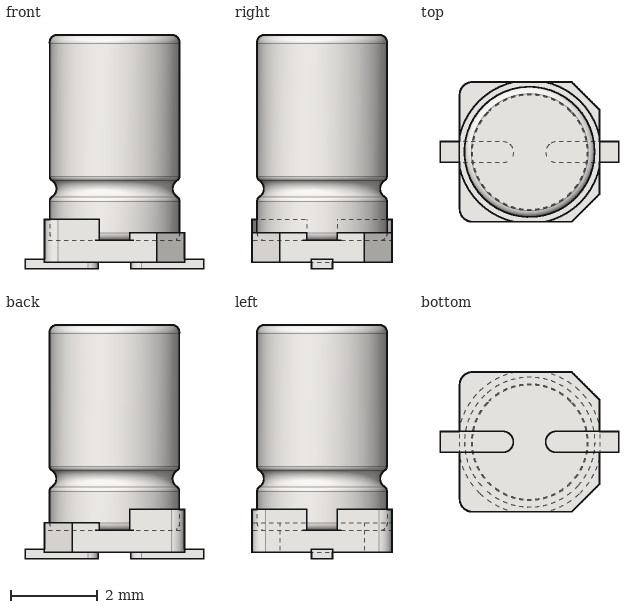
import cadquery as cq
import math

base_side = 3.23
base_bottom = 0.15
low_top = 0.835
high_top = 1.145
corner_radius = 0.3
corner_chamfer = 0.64
seat_radius = 1.65
seat_floor = 0.66

can_radius = 1.5
can_top = 5.4
top_rim_radius = 0.15
top_rim_height = 0.2
bottom_rim_radius = 0.18
groove_center = 1.85
groove_radius = 1.345
groove_half_height = 0.285
groove_lip_height = 0.095

lead_span = 4.12
lead_width = 0.485
lead_height = 0.225
lead_gap = 0.745


def make_base():
    """Stepped square base with a round seat that breaks through all four sides."""
    half = base_side / 2
    base = (
        cq.Workplane("XY", origin=(0, 0, base_bottom))
        .rect(base_side, base_side)
        .extrude(high_top - base_bottom)
    )
    base = base.edges("|Z and <X").fillet(corner_radius)
    base = base.edges("|Z and >X").chamfer(corner_chamfer)
    step = (
        cq.Workplane("XY", origin=(0, 0, low_top))
        .center(half / 2, 0)
        .rect(half, base_side)
        .extrude(high_top - low_top)
    )
    seat = (
        cq.Workplane("XY", origin=(0, 0, seat_floor))
        .circle(seat_radius)
        .extrude(high_top - seat_floor)
    )
    return base.cut(step).cut(seat)


def make_can():
    """Revolved can with rounded rims and a crimped groove near the bottom."""
    groove_low = groove_center - groove_half_height
    groove_high = groove_center + groove_half_height
    groove_depth = can_radius - groove_radius
    lip_radius = can_radius - groove_depth * groove_lip_height / groove_half_height
    lip_low = groove_low + groove_lip_height
    lip_high = groove_high - groove_lip_height
    arc_middle = math.sqrt(0.5)
    bottom_mid = (
        can_radius - bottom_rim_radius * (1 - arc_middle),
        seat_floor + bottom_rim_radius * (1 - arc_middle),
    )
    top_mid = (
        can_radius - top_rim_radius * (1 - arc_middle),
        can_top - top_rim_height * (1 - arc_middle),
    )
    profile = (
        cq.Workplane("XZ")
        .moveTo(0, seat_floor)
        .lineTo(can_radius - bottom_rim_radius, seat_floor)
        .threePointArc(bottom_mid, (can_radius, seat_floor + bottom_rim_radius))
        .lineTo(can_radius, groove_low)
        .tangentArcPoint((lip_radius, lip_low), relative=False)
        .threePointArc((groove_radius, groove_center), (lip_radius, lip_high))
        .tangentArcPoint((can_radius, groove_high), relative=False)
        .lineTo(can_radius, can_top - top_rim_height)
        .threePointArc(top_mid, (can_radius - top_rim_radius, can_top))
        .lineTo(0, can_top)
        .close()
    )
    return profile.revolve(360, (0, 0, 0), (0, 1, 0))


def make_lead(side):
    """Flat lead with a round inner end; side is -1 or 1 along X."""
    radius = lead_width / 2
    outer = side * lead_span / 2
    inner = side * lead_gap / 2
    shoulder = inner + side * radius
    return (
        cq.Workplane("XY")
        .moveTo(outer, -radius)
        .lineTo(shoulder, -radius)
        .threePointArc((inner, 0), (shoulder, radius))
        .lineTo(outer, radius)
        .close()
        .extrude(lead_height)
    )


result = make_base().union(make_can())
for side in (-1, 1):
    result = result.union(make_lead(side))